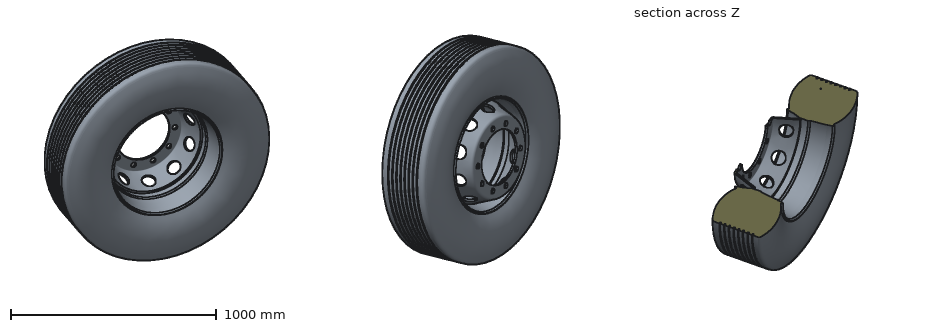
import cadquery as cq
import math


tread_radius = 545.0
tread_half_width = 119.0
shoulder_radius = 535.0
shoulder_half_width = 132.0
shoulder_rounding_middle = (128.0, 541.0)
sidewall_outer_radius = 529.0
sidewall_outer_half_width = 135.0
bulge_radius = 424.0
tyre_half_width = 158.0
bead_radius = 293.0
bead_half_width = 121.0

groove_count = 8
groove_pitch = 25.0
groove_width = 5.0
groove_floor_radius = 535.0

flange_crest_radius = 288.0
flange_crest_x = 130.0
flange_rounding_middle = (128.0, 292.0)
flange_inner_radius = 281.0
flange_inner_x = 120.0
seat_radius = 276.0
seat_x = 90.0
well_radius = 260.0
well_front_x = -47.0
well_back_x = -3.0
step_radius = 266.0
step_x = 8.0

hub_face_x = -174.0
hub_face_radius = 200.0
hub_rounding = 15.0
disc_thickness = 12.0
cone_angle = math.radians(21)
rim_overlap = 1.0
bore_diameter = 281.0

hole_count = 10
bolt_hole_diameter = 26.0
bolt_circle_radius = 168.0
vent_diameter = 70.0
vent_circle_radius = 238.0
vent_cut_depth = 22.0

cut_margin = 11.0


def revolve_about_axle(profile):
    """Close the profile and turn it fully about the X axis."""
    return profile.close().revolve(360, (0, 0, 0), (1, 0, 0))


def make_tyre_and_rim():
    def front(point):
        """Mirror a point of the back side to the front side."""
        return (-point[0], point[1])

    tread_edge = (tread_half_width, tread_radius)
    shoulder = (shoulder_half_width, shoulder_radius)
    sidewall_edge = (sidewall_outer_half_width, sidewall_outer_radius)
    bulge = (tyre_half_width, bulge_radius)
    bead = (bead_half_width, bead_radius)
    flange_crest = (flange_crest_x, flange_crest_radius)
    flange_inner_edge = (flange_inner_x, flange_inner_radius)
    seat_edge = (seat_x, seat_radius)
    profile = (
        cq.Workplane("XY")
        .moveTo(*front(tread_edge))
        .lineTo(*tread_edge)
        .threePointArc(shoulder_rounding_middle, shoulder)
        .lineTo(*sidewall_edge)
        .threePointArc(bulge, bead)
        .threePointArc(flange_rounding_middle, flange_crest)
        .lineTo(*flange_inner_edge)
        .lineTo(*seat_edge)
        .lineTo(step_x, step_radius)
        .lineTo(well_back_x, well_radius)
        .lineTo(well_front_x, well_radius)
        .lineTo(*front(seat_edge))
        .lineTo(*front(flange_inner_edge))
        .lineTo(*front(flange_crest))
        .threePointArc(front(flange_rounding_middle), front(bead))
        .threePointArc(front(bulge), front(sidewall_edge))
        .lineTo(*front(shoulder))
        .threePointArc(front(shoulder_rounding_middle), front(tread_edge))
    )
    return revolve_about_axle(profile)


def make_groove(middle_x):
    return (
        cq.Workplane("YZ", origin=(middle_x - groove_width / 2, 0, 0))
        .circle(tread_radius + cut_margin)
        .circle(groove_floor_radius)
        .extrude(groove_width)
    )


cone_start_x = hub_face_x + hub_rounding * (1 - math.sin(cone_angle))
cone_start_radius = hub_face_radius + hub_rounding * math.cos(cone_angle)


def cone_x(radius):
    """X of the outer cone surface at the given radius."""
    return cone_start_x + (radius - cone_start_radius) / math.tan(cone_angle)


def make_disc():
    bore_radius = bore_diameter / 2
    inner_rounding = hub_rounding - disc_thickness
    inner_face_x = hub_face_x + disc_thickness
    half_turn = (math.pi / 2 - cone_angle) / 2

    def rounding_point(radius, turn):
        """Point on the rounding between hub face and cone, turned by an angle away from the face."""
        return (
            hub_face_x + hub_rounding - radius * math.cos(turn),
            hub_face_radius + radius * math.sin(turn),
        )

    rim_radius = well_radius + rim_overlap
    disc_end_x = cone_x(rim_radius)
    inner_end_radius = rim_radius - disc_thickness / math.cos(cone_angle)
    profile = (
        cq.Workplane("XY")
        .moveTo(hub_face_x, bore_radius)
        .lineTo(hub_face_x, hub_face_radius)
        .threePointArc(
            rounding_point(hub_rounding, half_turn),
            rounding_point(hub_rounding, 2 * half_turn),
        )
        .lineTo(disc_end_x, rim_radius)
        .lineTo(disc_end_x, inner_end_radius)
        .lineTo(*rounding_point(inner_rounding, 2 * half_turn))
        .threePointArc(
            rounding_point(inner_rounding, half_turn),
            rounding_point(inner_rounding, 0),
        )
        .lineTo(inner_face_x, bore_radius)
    )
    return revolve_about_axle(profile)


def make_bolt_hole():
    """Bolt hole at +Y through the hub face."""
    return (
        cq.Workplane("YZ", origin=(hub_face_x - cut_margin, bolt_circle_radius, 0))
        .circle(bolt_hole_diameter / 2)
        .extrude(disc_thickness + 2 * cut_margin)
    )


def make_vent():
    """Vent hole at +Z, square to the cone surface."""
    outward = (-math.sin(cone_angle), 0, math.cos(cone_angle))
    vent_plane = cq.Plane(
        origin=(cone_x(vent_circle_radius), 0, vent_circle_radius),
        xDir=(0, 1, 0),
        normal=outward,
    )
    return cq.Workplane(vent_plane).circle(vent_diameter / 2).extrude(vent_cut_depth, both=True)


disc = make_disc()
for index in range(hole_count):
    angle = index * 360 / hole_count
    for hole in (make_bolt_hole(), make_vent()):
        disc = disc.cut(hole.rotate((0, 0, 0), (1, 0, 0), angle))

wheel = make_tyre_and_rim()
for index in range(groove_count):
    wheel = wheel.cut(make_groove((index - (groove_count - 1) / 2) * groove_pitch))

result = wheel.union(disc)